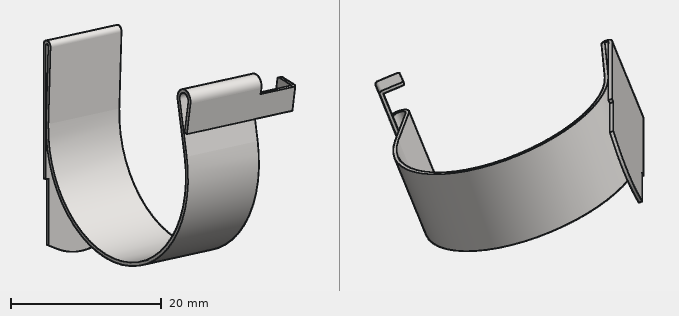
import cadquery as cq
import math

thickness = 0.5
half_thickness = thickness / 2
width = 12.0

fold_radius = 0.5
fold_center = (fold_radius + half_thickness, -(fold_radius + half_thickness))
cradle_radius = 15.0
cradle_center = (15.8, -12.13)
loop_radius = 1.17
loop_outer_radius = loop_radius + half_thickness
loop_center = (31.6 - loop_outer_radius, -loop_outer_radius)

plate_length = 19.27
tongue_inset = 0.5
tongue_tip = 30.25
tip_height = 1.75
tip_slope_run = 1.55
tip_slope_drop = 0.8

leg_angle = 10
leg_length = 4.45
tab_top = 0.9
tab_reach = 6.1
flange_length = 3.57
flange_corner_radius = 0.38
tab_bend_radius = 0.47


def polar(center, radius, angle):
    """Point at the given angle (radians) on a circle in the XZ plane."""
    return center[0] + radius * math.cos(angle), center[1] + radius * math.sin(angle)


def cross_tangent_angle(start, end, radius_sum, side):
    """Angle of the start circle's contact point with the tangent crossing to the end circle."""
    dx = end[0] - start[0]
    dz = end[1] - start[1]
    return math.atan2(dz, dx) + side * math.acos(radius_sum / math.hypot(dx, dz))


left_tangent = cross_tangent_angle(fold_center, cradle_center, fold_radius + cradle_radius, 1)
right_tangent = cross_tangent_angle(cradle_center, loop_center, cradle_radius + loop_radius, -1)
leg_tilt = math.radians(leg_angle)
leg_direction = (-math.sin(leg_tilt), -math.cos(leg_tilt))


def strip_arcs(offset):
    """Start, middle and end points of each bend, offset to the left of the strip's travel."""
    bends = [
        (fold_center, fold_radius + offset, math.pi, left_tangent),
        (cradle_center, cradle_radius - offset, left_tangent - math.pi, right_tangent),
        (loop_center, loop_radius + offset, right_tangent + math.pi, -leg_tilt),
    ]
    return [
        [polar(center, radius, angle) for angle in (first, (first + last) / 2, last)]
        for center, radius, first, last in bends
    ]


def make_strip():
    """Plate, fold, cradle, loop and return leg at full width."""
    left_side = strip_arcs(half_thickness)
    right_side = strip_arcs(-half_thickness)

    def leg_end(arc_end):
        return tuple(p + leg_length * d for p, d in zip(arc_end, leg_direction))

    outline = cq.Workplane("XZ").moveTo(0, -plate_length)
    for first, middle, last in left_side:
        outline = outline.lineTo(*first).threePointArc(middle, last)
    outline = outline.lineTo(*leg_end(left_side[-1][-1]))
    outline = outline.lineTo(*leg_end(right_side[-1][-1]))
    for first, middle, last in reversed(right_side):
        outline = outline.lineTo(*last).threePointArc(middle, first)
    return outline.lineTo(thickness, -plate_length).close().extrude(-width)


def make_tongue():
    """Narrower end of the plate with sloping shoulders and a rounded tip."""
    near = tongue_inset
    far = width - tongue_inset
    shoulder = tip_height - tongue_tip
    arc_start = shoulder - tip_slope_drop
    return (
        cq.Workplane("YZ")
        .moveTo(near, -plate_length)
        .lineTo(near, shoulder)
        .lineTo(near + tip_slope_run, arc_start)
        .threePointArc((width / 2, -tongue_tip), (far - tip_slope_run, arc_start))
        .lineTo(far, shoulder)
        .lineTo(far, -plate_length)
        .close()
        .extrude(thickness)
    )


def make_tab():
    """L-shaped tab beside the leg, built upright at the loop centre and then tilted with the leg."""
    tab_height = leg_length - tab_top
    tab_end = width + tab_reach
    web = cq.Workplane("XY").box(thickness, tab_reach, tab_height, centered=False)
    web = web.translate((loop_outer_radius - thickness, width, -leg_length))
    flange = cq.Workplane("XY").box(flange_length, thickness, tab_height, centered=False)
    flange = flange.translate((loop_outer_radius - flange_length, tab_end - thickness, -leg_length))
    flange = flange.edges("|Y and <X").fillet(flange_corner_radius)
    tab = web.union(flange)
    bend_middle = (loop_outer_radius, tab_end, -leg_length + tab_height / 2)
    outer_bend = cq.selectors.NearestToPointSelector(bend_middle)
    tab = tab.edges("|Z").edges(outer_bend).fillet(tab_bend_radius)
    tab = tab.rotate((0, 0, 0), (0, 1, 0), leg_angle)
    return tab.translate((loop_center[0], 0, loop_center[1]))


result = make_strip().union(make_tongue()).union(make_tab())